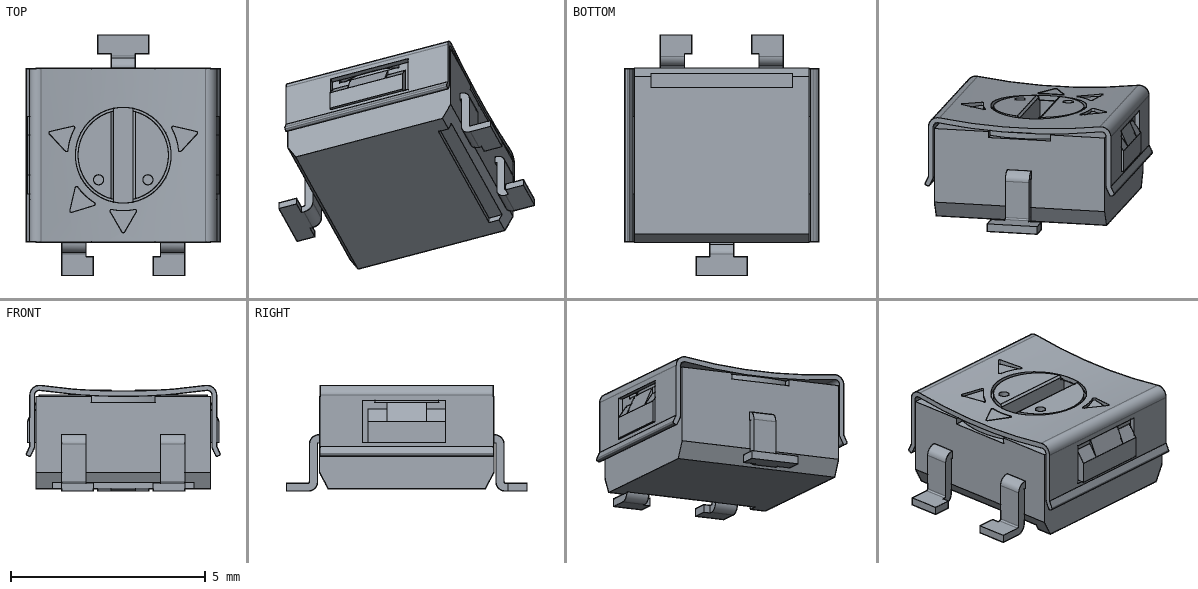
import cadquery as cq
import math

BODY_SIDE = 4.5
BODY_HALF = BODY_SIDE / 2
BODY_BOTTOM = 0.06
BODY_TOP = 2.44
CHAMFER_RUN = 0.225
CHAMFER_RISE = 0.424
RELIEF_WIDTH = 3.65
RELIEF_TOP = 0.22
RELIEF_DEPTH = 0.5
RECESS_RADIUS = 2.2
RECESS_FLOOR = 2.28
NOTCH_WIDTH = 1.64

FLANGE_RADIUS = 2.17
FLANGE_TOP = 2.48
ROTOR_RADIUS = 1.164
ROTOR_TOP = 2.6
SLOT_WIDTH = 0.504
SLOT_LIP_RUN = 0.062
SLOT_LIP_DROP = 0.05
SLOT_END_RADIUS = 1.265
SLOT_DEPTH = 0.6
DIMPLE_RADIUS = 0.13
DIMPLE_DEPTH = 0.15
DIMPLE_X = 0.636
DIMPLE_Y = -0.633

COVER_LENGTH = 4.464
COVER_THICKNESS = 0.135
COVER_HALF_WIDTH = 2.41
COVER_MID_TOP = 2.575
COVER_SAG_RADIUS = 15.0
COVER_WALL_THICKNESS = 0.127
COVER_BEND_RADIUS = 0.255
COVER_HOLE_RADIUS = 1.233
FLARE_TOP = 1.15
FLARE_RISE = 0.21
FLARE_HALF_WIDTH = 2.513
FLARE_ROUND = 0.04
WINDOW_Y_MIN = -1.14
WINDOW_Y_MAX = 1.0
WINDOW_BOTTOM = 1.25
WINDOW_TOP = 2.34

ARROW_FLOOR = 2.567
ARROW_ANGLES = (17, 163, 227, 270)
ARROW_TIP_RADIUS = 2.04
ARROW_BASE_RADIUS = 1.43
ARROW_HALF_ANGLE = 15.5
ARROW_ROUND = 0.04

CATCH_REACH = 2.47
CATCH_HALF_LENGTH = 1.0
CATCH_BOTTOM = WINDOW_BOTTOM
CATCH_EDGE = 1.797
CATCH_SIDE_TOP = 2.118
CATCH_MID_TOP = RECESS_FLOOR
CATCH_MID_HALF_LENGTH = 0.515

LEAD_WIDTH = 0.63
LEAD_HALF_WIDTH = LEAD_WIDTH / 2
LEAD_TOP = 1.455
LEAD_THICKNESS = 0.215
LEAD_OUTER_Y = 2.51
LEAD_ROOT_Y = 2.0
LEAD_BEND_RADIUS = 0.245
LEAD_INNER_RADIUS = 0.04
FOOT_THICKNESS = 0.205
FOOT_END_Y = 3.1
FOOT_PAD_LENGTH = 0.49
FRONT_LEAD_X = 1.272
FRONT_PAD_EXTENSION = 0.185
BACK_PAD_WIDTH = 1.32


def box(x_min, x_max, y_min, y_max, z_min, z_max):
    return cq.Workplane("XY").box(
        x_max - x_min, y_max - y_min, z_max - z_min, centered=False
    ).translate((x_min, y_min, z_min))


def disc(radius, z_min, z_max):
    return cq.Workplane("XY").workplane(offset=z_min).circle(radius).extrude(z_max - z_min)


def make_body():
    bevel_inner = BODY_HALF - CHAMFER_RUN
    bevel_top = BODY_BOTTOM + CHAMFER_RISE
    body = (
        cq.Workplane("YZ")
        .moveTo(-bevel_inner, BODY_BOTTOM)
        .lineTo(bevel_inner, BODY_BOTTOM)
        .lineTo(BODY_HALF, bevel_top)
        .lineTo(BODY_HALF, BODY_TOP)
        .lineTo(-BODY_HALF, BODY_TOP)
        .lineTo(-BODY_HALF, bevel_top)
        .close()
        .extrude(BODY_HALF, both=True)
    )
    relief = box(
        -RELIEF_WIDTH / 2, RELIEF_WIDTH / 2,
        -BODY_HALF, -BODY_HALF + RELIEF_DEPTH,
        BODY_BOTTOM, RELIEF_TOP,
    )
    notch = box(
        -BODY_HALF, BODY_HALF,
        -NOTCH_WIDTH / 2, NOTCH_WIDTH / 2,
        RECESS_FLOOR, BODY_TOP,
    )
    recess = disc(RECESS_RADIUS, RECESS_FLOOR, BODY_TOP)
    recess = recess.union(notch).union(notch.rotate((0, 0, 0), (0, 0, 1), 90))
    return body.cut(relief).cut(recess)


def catch_wedge(half_length, top):
    """Catch on the +X side: vertical face, then a slope back to the body."""
    return (
        cq.Workplane("XZ")
        .moveTo(BODY_HALF, CATCH_BOTTOM)
        .lineTo(CATCH_REACH, CATCH_BOTTOM)
        .lineTo(CATCH_REACH, CATCH_EDGE)
        .lineTo(BODY_HALF, top)
        .close()
        .extrude(half_length, both=True)
    )


def make_catches():
    side = catch_wedge(CATCH_HALF_LENGTH, CATCH_SIDE_TOP)
    catch = side.union(catch_wedge(CATCH_MID_HALF_LENGTH, CATCH_MID_TOP))
    return catch.union(catch.mirror("YZ"))


def cover_block(half_width, mid_top, sag_radius, bend_radius):
    """Solid block with a dished top and rounded shoulders."""
    edge_top = mid_top + sag_radius - math.sqrt(sag_radius**2 - half_width**2)
    return (
        cq.Workplane("XZ")
        .moveTo(-half_width, FLARE_TOP)
        .lineTo(-half_width, edge_top)
        .threePointArc((0, mid_top), (half_width, edge_top))
        .lineTo(half_width, FLARE_TOP)
        .close()
        .extrude(COVER_LENGTH / 2, both=True)
        .edges("|Y and >Z")
        .fillet(bend_radius)
    )


def make_flare():
    """Outward turned lower lip of the +X cover wall."""
    lean = math.atan2(FLARE_HALF_WIDTH - COVER_HALF_WIDTH, FLARE_RISE)
    tip_z = FLARE_TOP - FLARE_RISE
    inner_tip_x = FLARE_HALF_WIDTH - COVER_WALL_THICKNESS * math.cos(lean)
    inner_tip_z = tip_z - COVER_WALL_THICKNESS * math.sin(lean)
    inner_bend_z = FLARE_TOP - COVER_WALL_THICKNESS * math.tan(lean / 2)
    inner_x = COVER_HALF_WIDTH - COVER_WALL_THICKNESS
    return (
        cq.Workplane("XZ")
        .moveTo(COVER_HALF_WIDTH, FLARE_TOP)
        .lineTo(FLARE_HALF_WIDTH, tip_z)
        .lineTo(inner_tip_x, inner_tip_z)
        .lineTo(inner_x, inner_bend_z)
        .lineTo(inner_x, FLARE_TOP)
        .close()
        .extrude(COVER_LENGTH / 2, both=True)
        .edges("|Y and (<Z or >X)")
        .fillet(FLARE_ROUND)
    )


def make_arrow():
    """Triangular mark pointing along +X, its base hollowed around the rotor."""
    angle = math.radians(ARROW_HALF_ANGLE)
    base_x = ARROW_BASE_RADIUS * math.cos(angle)
    base_y = ARROW_BASE_RADIUS * math.sin(angle)
    return (
        cq.Workplane("XY")
        .workplane(offset=ARROW_FLOOR)
        .moveTo(base_x, -base_y)
        .lineTo(ARROW_TIP_RADIUS, 0)
        .lineTo(base_x, base_y)
        .threePointArc((ARROW_BASE_RADIUS, 0), (base_x, -base_y))
        .close()
        .extrude(COVER_THICKNESS * 2)
        .edges("|Z")
        .fillet(ARROW_ROUND)
    )


def make_cover():
    outer = cover_block(COVER_HALF_WIDTH, COVER_MID_TOP, COVER_SAG_RADIUS, COVER_BEND_RADIUS)
    inner = cover_block(
        COVER_HALF_WIDTH - COVER_WALL_THICKNESS,
        COVER_MID_TOP - COVER_THICKNESS,
        COVER_SAG_RADIUS + COVER_THICKNESS,
        COVER_BEND_RADIUS - COVER_THICKNESS,
    )
    flare = make_flare()
    cover = outer.cut(inner).union(flare).union(flare.mirror("YZ"))
    cover = cover.cut(
        box(-BODY_SIDE, BODY_SIDE, WINDOW_Y_MIN, WINDOW_Y_MAX, WINDOW_BOTTOM, WINDOW_TOP)
    )
    cover = cover.cut(disc(COVER_HOLE_RADIUS, WINDOW_TOP, ROTOR_TOP + COVER_THICKNESS))
    arrow = make_arrow()
    for angle in ARROW_ANGLES:
        cover = cover.cut(arrow.rotate((0, 0, 0), (0, 0, 1), angle))
    return cover


def make_rotor():
    flange = disc(FLANGE_RADIUS, RECESS_FLOOR, FLANGE_TOP)
    return flange.union(disc(ROTOR_RADIUS, FLANGE_TOP, ROTOR_TOP))


def make_slot():
    """Screwdriver slot along Y with bevelled lips and rounded ends."""
    half = SLOT_WIDTH / 2
    floor = ROTOR_TOP - SLOT_DEPTH
    profile = (
        cq.Workplane("XZ")
        .moveTo(-half, floor)
        .lineTo(half, floor)
        .lineTo(half, ROTOR_TOP - SLOT_LIP_DROP)
        .lineTo(half + SLOT_LIP_RUN, ROTOR_TOP)
        .lineTo(-half - SLOT_LIP_RUN, ROTOR_TOP)
        .lineTo(-half, ROTOR_TOP - SLOT_LIP_DROP)
        .close()
        .extrude(SLOT_END_RADIUS, both=True)
    )
    return profile.intersect(disc(SLOT_END_RADIUS, floor, ROTOR_TOP))


def make_dimples():
    return (
        cq.Workplane("XY")
        .workplane(offset=ROTOR_TOP - DIMPLE_DEPTH)
        .pushPoints([(-DIMPLE_X, DIMPLE_Y), (DIMPLE_X, DIMPLE_Y)])
        .circle(DIMPLE_RADIUS)
        .extrude(DIMPLE_DEPTH)
    )


def make_lead():
    """Gull wing strip on the +Y side, centred on X = 0."""
    inner_y = LEAD_OUTER_Y - LEAD_THICKNESS
    underside = LEAD_TOP - LEAD_THICKNESS
    return (
        cq.Workplane("YZ")
        .moveTo(LEAD_ROOT_Y, LEAD_TOP)
        .lineTo(LEAD_OUTER_Y - LEAD_BEND_RADIUS, LEAD_TOP)
        .radiusArc((LEAD_OUTER_Y, LEAD_TOP - LEAD_BEND_RADIUS), LEAD_BEND_RADIUS)
        .lineTo(LEAD_OUTER_Y, FOOT_THICKNESS + LEAD_INNER_RADIUS)
        .radiusArc((LEAD_OUTER_Y + LEAD_INNER_RADIUS, FOOT_THICKNESS), -LEAD_INNER_RADIUS)
        .lineTo(FOOT_END_Y, FOOT_THICKNESS)
        .lineTo(FOOT_END_Y, 0)
        .lineTo(inner_y + LEAD_BEND_RADIUS, 0)
        .radiusArc((inner_y, LEAD_BEND_RADIUS), LEAD_BEND_RADIUS)
        .lineTo(inner_y, underside)
        .lineTo(LEAD_ROOT_Y, underside)
        .close()
        .extrude(LEAD_HALF_WIDTH, both=True)
    )


def foot_pad(x_min, x_max):
    return box(x_min, x_max, FOOT_END_Y - FOOT_PAD_LENGTH, FOOT_END_Y, 0, FOOT_THICKNESS)


def make_leads():
    back = make_lead().union(foot_pad(-BACK_PAD_WIDTH / 2, BACK_PAD_WIDTH / 2))
    front = make_lead().union(
        foot_pad(-LEAD_HALF_WIDTH - FRONT_PAD_EXTENSION, LEAD_HALF_WIDTH)
    )
    front_right = front.mirror("XZ").translate((FRONT_LEAD_X, 0, 0))
    return back.union(front_right).union(front_right.mirror("YZ"))


part = make_body().union(make_catches()).union(make_rotor())
part = part.cut(make_slot()).cut(make_dimples())
result = part.union(make_cover()).union(make_leads())